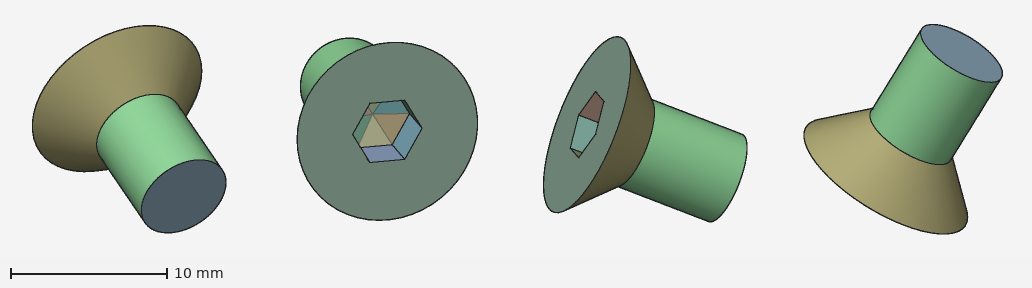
import cadquery as cq
import math

head_diameter = 12.0
shank_diameter = head_diameter / 2
total_length = head_diameter * 5 / 6
head_height = 3.3

socket_across_flats = head_diameter / 3
socket_depth = 3.0
point_flat_angle = 75.5
point_depth = socket_across_flats / 2 / math.tan(math.radians(point_flat_angle))


def make_body():
    """Conical head and plain shank, revolved about X."""
    return (
        cq.Workplane("XY")
        .polyline([
            (0, 0),
            (0, head_diameter / 2),
            (head_height, shank_diameter / 2),
            (total_length, shank_diameter / 2),
            (total_length, 0),
        ])
        .close()
        .revolve(360, (0, 0, 0), (1, 0, 0))
    )


def make_socket():
    """Pointed hexagonal prism: the overlap of three pointed slabs turned 60 degrees apart."""
    half_flats = socket_across_flats / 2
    slab = (
        cq.Workplane("XZ")
        .polyline([
            (0, -half_flats),
            (socket_depth, -half_flats),
            (socket_depth + point_depth, 0),
            (socket_depth, half_flats),
            (0, half_flats),
        ])
        .close()
        .extrude(socket_across_flats, both=True)
    )
    socket = slab
    for angle in (60, 120):
        socket = socket.intersect(slab.rotate((0, 0, 0), (1, 0, 0), angle))
    return socket


result = make_body().cut(make_socket())